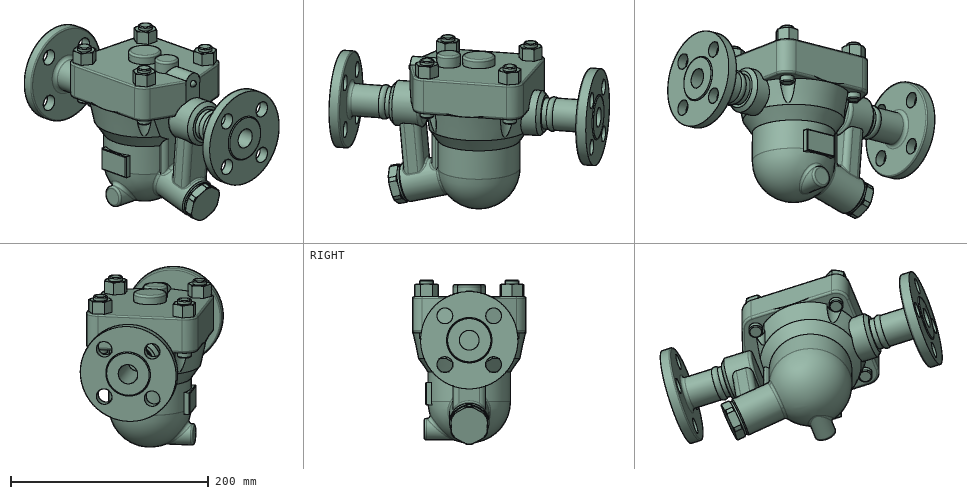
import cadquery as cq
import math


cos_45 = math.sqrt(0.5)

half_length = 135.5
flange_d = 99.0
flange_thickness = 12.0
flange_edge_radius = 1.4
raised_face_d = 46.0
raised_face_height = 1.0
raised_face_chamfer = 1.0
pipe_d = 33.0
pipe_root_radius = 3.8
bead_start = 91.0
bead_end = 84.5
bead_height = 1.0
neck_d = 32.0
boss_d = 46.0
boss_chamfer = 4.0
boss_end = 79.5
boss_inner_end = 46.0
boss_inner_radius = 3.3
bore_d = 20.0
bolt_hole_d = 16.0
bolt_circle_d = 70.0

trap_x = -10.0
plate_half = 57.5
plate_bottom = 7.3
plate_top = 44.2
plate_corner_radius = 14.0
plate_top_edge = 1.5
plate_bottom_edge = 2.5
tip_reach = 69.6
tip_half_width = 9.8

stud_offset = plate_half - plate_corner_radius
stud_places = [(trap_x + sx * stud_offset, sy * stud_offset) for sx in (-1, 1) for sy in (-1, 1)]
stud_d = 14.0
stud_top = 61.0
stud_bottom = 0.8
stud_chamfer = 1.0
nut_corner_d = 24.0
nut_top = 57.0
nut_chamfer = 1.4
scoop_radius = 9.5
hexagon_half_pitch = 30.0

cap_d = 33.0
cap_bottom = 47.2
cap_top = 56.5
knob_d = 24.0
knob_offset = 31.7
crown_radius = 2.2
tube_d = 20.0
tube_z = 40.0
nub_radius = 3.5
nub_z = 39.0

bowl_radius = 42.0
dome_center_z = -62.3
shoulder_radius = 51.5
shoulder_z = -18.7
shoulder_bottom_z = -32.2
collar_radius = plate_half - 0.3
flare = 3.3
bowl_flat_x = 46.0

passage_half_width = 16.5
rib_corner_radius = 5.0
rib_back = 21.7
rib_bottom = -65.0
riser_width = 22.0
riser_corner_radius = 6.0
riser_tilt = 5.0
riser_top_x = 70.0
riser_top_z = -8.0
riser_length = 65.0

branch_tilt = 15.0
branch_axis_z = -63.1
branch_d = 40.0
branch_length = 79.7
branch_chamfer = 1.4
gasket_d = 36.9
gasket_thickness = 2.2
plug_flats = 36.9
plug_round_d = 40.0
plug_length = 9.2
plug_chamfer = 0.8

drain_blend = 3.3
riser_blend = 1.5
branch_blend = 3.5
seam_tolerance = 0.003
seam_probe = 0.4

drain_d = 22.0
drain_z = -90.2
drain_reach = 45.8
nameplate_width = 35.2
nameplate_reach = 44.5
nameplate_bottom = -65.5
nameplate_top = -42.8
nameplate_edge = 0.8


def blend_union(base, added, radius):
    """Join two shapes and round the inside corner along their seam."""
    joined = base.union(added)
    base_faces = base.val().Faces()
    added_faces = added.val().Faces()

    def touches(point, faces):
        vertex = cq.Vertex.makeVertex(*point.toTuple())
        return any(face.distance(vertex) < seam_tolerance for face in faces)

    seam = [
        edge
        for edge in joined.val().Edges()
        if touches(edge.positionAt(seam_probe), base_faces)
        and touches(edge.positionAt(seam_probe), added_faces)
    ]
    return joined.newObject(seam).fillet(radius)


def disc(diameter, z_low, z_high, x, y=0.0):
    """Upright cylinder standing between two heights."""
    return (
        cq.Workplane("XY")
        .center(x, y)
        .circle(diameter / 2)
        .extrude(z_high - z_low)
        .translate((0, 0, z_low))
    )


def crowned_disc(diameter, z_low, z_high, x):
    """Upright cylinder with a rounded top edge."""
    return disc(diameter, z_low, z_high, x).faces(">Z").edges().fillet(crown_radius)


def make_pipe_end():
    """Flanged pipe and boss of the +X side, turned about the X axis."""
    flange_front = half_length - raised_face_height
    flange_back = half_length - flange_thickness
    pipe_radius = pipe_d / 2
    neck_radius = neck_d / 2
    boss_radius = boss_d / 2
    face_radius = raised_face_d / 2
    edge_center = (flange_back + flange_edge_radius, flange_d / 2 - flange_edge_radius)
    root_center = (flange_back - pipe_root_radius, pipe_radius + pipe_root_radius)
    inner_center = (boss_inner_end + boss_inner_radius, boss_radius - boss_inner_radius)
    edge_mid = (
        edge_center[0] - flange_edge_radius * cos_45,
        edge_center[1] + flange_edge_radius * cos_45,
    )
    root_mid = (
        root_center[0] + pipe_root_radius * cos_45,
        root_center[1] - pipe_root_radius * cos_45,
    )
    inner_mid = (
        inner_center[0] - boss_inner_radius * cos_45,
        inner_center[1] + boss_inner_radius * cos_45,
    )
    body = (
        cq.Workplane("XY")
        .moveTo(half_length, 0)
        .lineTo(half_length, face_radius - raised_face_chamfer)
        .lineTo(flange_front, face_radius)
        .lineTo(flange_front, flange_d / 2)
        .lineTo(edge_center[0], flange_d / 2)
        .threePointArc(edge_mid, (flange_back, edge_center[1]))
        .lineTo(flange_back, root_center[1])
        .threePointArc(root_mid, (root_center[0], pipe_radius))
        .lineTo(bead_start, pipe_radius)
        .threePointArc(((bead_start + bead_end) / 2, pipe_radius + bead_height), (bead_end, neck_radius))
        .lineTo(boss_end, neck_radius)
        .lineTo(boss_end, boss_radius - boss_chamfer)
        .lineTo(boss_end - boss_chamfer, boss_radius)
        .lineTo(inner_center[0], boss_radius)
        .threePointArc(inner_mid, (boss_inner_end, inner_center[1]))
        .lineTo(boss_inner_end, 0)
        .close()
        .revolve(360, (0, 0, 0), (1, 0, 0))
    )
    bolt_offset = bolt_circle_d / 2 * cos_45
    bolt_holes = (
        cq.Workplane("YZ")
        .workplane(offset=flange_back)
        .rect(2 * bolt_offset, 2 * bolt_offset, forConstruction=True)
        .vertices()
        .circle(bolt_hole_d / 2)
        .extrude(flange_thickness)
    )
    bore = cq.Workplane("YZ").workplane(offset=boss_end).circle(bore_d / 2).extrude(half_length - boss_end)
    return body.cut(bolt_holes).cut(bore)


def make_plate():
    """Rounded cover plate with a blunt point on the +X side."""
    tip_dx = tip_reach - stud_offset
    tip_dy = tip_half_width - stud_offset
    tangent_angle = math.atan2(tip_dy, tip_dx) + math.acos(plate_corner_radius / math.hypot(tip_dx, tip_dy))
    half_angle = (tangent_angle + math.pi / 2) / 2

    def corner_point(angle, side=1):
        return (
            stud_offset + plate_corner_radius * math.cos(angle),
            side * (stud_offset + plate_corner_radius * math.sin(angle)),
        )

    inner = stud_offset
    diagonal_reach = stud_offset + plate_corner_radius * cos_45
    return (
        cq.Workplane("XY")
        .workplane(offset=plate_bottom)
        .center(trap_x, 0)
        .moveTo(-inner, plate_half)
        .lineTo(inner, plate_half)
        .threePointArc(corner_point(half_angle), corner_point(tangent_angle))
        .lineTo(tip_reach, tip_half_width)
        .lineTo(tip_reach, -tip_half_width)
        .lineTo(*corner_point(tangent_angle, -1))
        .threePointArc(corner_point(half_angle, -1), (inner, -plate_half))
        .lineTo(-inner, -plate_half)
        .threePointArc((-diagonal_reach, -diagonal_reach), (-plate_half, -inner))
        .lineTo(-plate_half, inner)
        .threePointArc((-diagonal_reach, diagonal_reach), (-inner, plate_half))
        .close()
        .extrude(plate_top - plate_bottom)
        .faces(">Z")
        .edges()
        .fillet(plate_top_edge)
        .faces("<Z")
        .edges()
        .fillet(plate_bottom_edge)
    )


def make_bowl():
    """Round bowl with a domed bottom, scooped out around the studs."""
    collar_top = plate_bottom + plate_bottom_edge
    bowl = (
        cq.Workplane("XZ")
        .moveTo(0, collar_top)
        .lineTo(collar_radius + flare, collar_top)
        .lineTo(collar_radius, plate_bottom)
        .lineTo(shoulder_radius, shoulder_z)
        .lineTo(bowl_radius, shoulder_bottom_z)
        .lineTo(bowl_radius, dome_center_z)
        .threePointArc(
            (bowl_radius * cos_45, dome_center_z - bowl_radius * cos_45),
            (0, dome_center_z - bowl_radius),
        )
        .close()
        .revolve(360, (0, 0, 0), (0, 1, 0))
    )
    rib_depth = bowl_flat_x - rib_back
    rib = (
        cq.Workplane("XY")
        .box(rib_depth, 2 * passage_half_width, collar_top - rib_bottom, centered=(False, True, False))
        .edges("|Z and >X")
        .fillet(rib_corner_radius)
        .translate((rib_back, 0, rib_bottom))
    )
    envelope = cq.Workplane("XY").box(
        plate_half + bowl_flat_x, 2 * plate_half, 4 * plate_half, centered=(False, True, True)
    )
    bowl = bowl.intersect(envelope.translate((-plate_half, 0, 0))).union(rib).translate((trap_x, 0, 0))
    for x, y in stud_places:
        bowl = bowl.cut(disc(2 * scoop_radius, shoulder_z, plate_bottom, x, y))
    return bowl


def make_stud_and_nut(x, y, rotation):
    """Stud through the plate with a hexagon nut on top of it."""
    stud = disc(stud_d, stud_bottom, stud_top, x, y).faces(">Z or <Z").edges().chamfer(stud_chamfer)
    nut = cq.Workplane("XY").polygon(6, nut_corner_d).extrude(nut_top - plate_top)
    nut = nut.rotate((0, 0, 0), (0, 0, 1), rotation).translate((x, y, plate_top))
    nut_turning = disc(nut_corner_d, plate_top, nut_top, x, y).faces(">Z").edges()
    return stud.union(nut.intersect(nut_turning.chamfer(nut_chamfer / 2, nut_chamfer)))


def make_cover_tube():
    """Knob on the cover and the half-buried tube that runs from it to the tip."""
    knob_x = trap_x + knob_offset
    knob = crowned_disc(knob_d, plate_top, cap_top, knob_x)
    tip_x = trap_x + tip_reach
    tube = cq.Workplane("YZ").workplane(offset=knob_x).center(0, tube_z).circle(tube_d / 2)
    tube = tube.extrude(tip_x - knob_x)
    nub = cq.Workplane("XY").sphere(nub_radius).translate((tip_x, 0, nub_z))
    return knob.union(tube).union(nub)


def make_riser():
    """Tilted passage that joins the branch to the outlet boss."""
    riser = (
        cq.Workplane("XY")
        .rect(riser_width, 2 * passage_half_width)
        .extrude(-riser_length)
        .edges("|Z")
        .fillet(riser_corner_radius)
    )
    riser = riser.rotate((0, 0, 0), (0, 1, 0), riser_tilt)
    return riser.translate((trap_x + riser_top_x, 0, riser_top_z))


def along_branch(shape):
    """Tip a shape built along X down onto the branch axis."""
    tilted = shape.rotate((0, 0, 0), (0, 1, 0), branch_tilt)
    return tilted.translate((trap_x, 0, branch_axis_z))


def make_branch():
    """Strainer branch, closed by a gasket and a hexagon plug."""
    branch = cq.Workplane("YZ").circle(branch_d / 2).extrude(branch_length)
    branch = branch.faces(">X").edges().chamfer(branch_chamfer)
    gasket = cq.Workplane("YZ").workplane(offset=branch_length).circle(gasket_d / 2).extrude(gasket_thickness)
    plug_start = branch_length + gasket_thickness
    plug_corner_d = plug_flats / math.cos(math.pi / 6)
    plug = cq.Workplane("YZ").workplane(offset=plug_start).polygon(6, plug_corner_d).extrude(plug_length)
    plug = plug.rotate((0, 0, 0), (1, 0, 0), hexagon_half_pitch)
    plug_turning = (
        cq.Workplane("YZ")
        .workplane(offset=plug_start)
        .circle(plug_round_d / 2)
        .extrude(plug_length)
        .faces("<X or >X")
        .edges()
        .chamfer(plug_chamfer)
    )
    return along_branch(branch.union(gasket).union(plug.intersect(plug_turning)))


def make_drain_boss():
    """Round boss on the -Y side of the dome."""
    boss = cq.Workplane("XZ").center(trap_x, drain_z).circle(drain_d / 2).extrude(drain_reach)
    return boss.faces("<Y").edges().fillet(crown_radius)


def make_nameplate():
    """Raised rectangular pad on the -Y side of the bowl."""
    pad = (
        cq.Workplane("XY")
        .box(nameplate_width, nameplate_reach, nameplate_top - nameplate_bottom, centered=(True, False, False))
        .faces(">Y")
        .edges()
        .chamfer(nameplate_edge)
    )
    return pad.rotate((0, 0, 0), (0, 0, 1), 180).translate((trap_x, 0, nameplate_bottom))


outlet = make_pipe_end()
inlet = outlet.mirror("YZ")
bowl = make_bowl()
branch = make_branch()
bowl_with_drain = blend_union(bowl, make_drain_boss(), drain_blend)
castings = blend_union(bowl_with_drain, branch, branch_blend)
castings = blend_union(castings, make_riser(), riser_blend)
trap = castings.union(make_plate())
for part in (inlet, outlet, make_nameplate(), make_cover_tube()):
    trap = trap.union(part)
for x, y in stud_places:
    nut_rotation = 0 if (x - trap_x) * y > 0 else hexagon_half_pitch
    trap = trap.union(make_stud_and_nut(x, y, nut_rotation))

cap = crowned_disc(cap_d, cap_bottom, cap_top, trap_x)

result = cq.Compound.makeCompound([trap.val(), cap.val()])